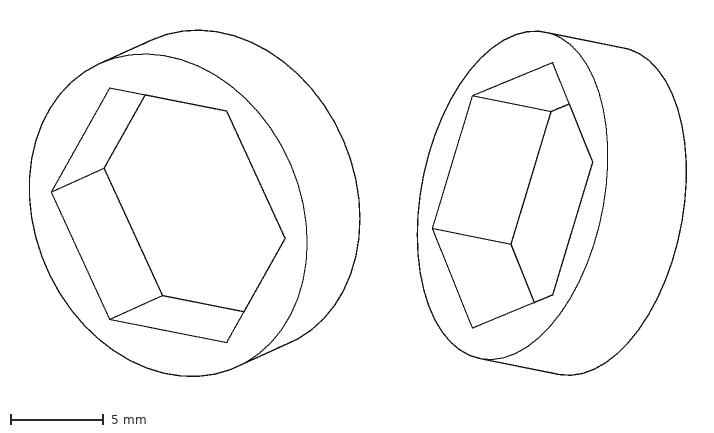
import cadquery as cq
import math

outer_diameter = 18.0
ring_width = 5.18
hex_across_flats = 13.1
hex_across_corners = hex_across_flats / math.cos(math.pi / 6)

result = (
    cq.Workplane("XZ")
    .circle(outer_diameter / 2)
    .polygon(6, hex_across_corners)
    .extrude(ring_width)
)